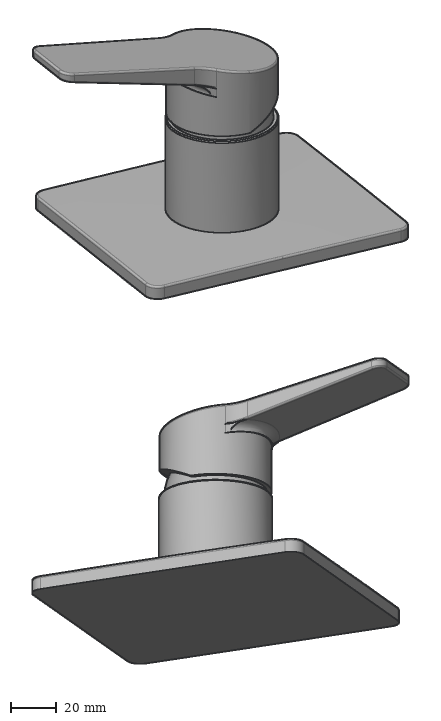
import cadquery as cq
import math

plate_width = 110.0
plate_length = 130.0
plate_crest = 6.9
face_rise = 0.6
plate_corner_radius = 6.1
plate_edge_radius = 0.9

body_radius = 24.8
body_top = 50.9
body_edge_chamfer = 0.6
neck_radius = 22.5

cap_radius = 24.5
cap_bottom = 53.5
cap_back_top = 79.2
cap_back_bottom = 64.5
relief_start_y = 0.6
tip_crest = 98.9
overall_length = 152.3
tip_y = plate_length / 2 - overall_length
tip_bottom = 94.6
underside_slope = 0.247
lever_root_y = -23.3
lever_root_half_width = 17.2
lever_tip_half_width = 16.0
tip_corner_radius = 5.0
handle_edge_radius = 0.9
root_cove_radius = 4.0


def make_plate():
    blank = cq.Workplane("XY").rect(plate_width, plate_length).extrude(plate_crest)
    blank = blank.edges("|Z").fillet(plate_corner_radius)
    half_diagonal = math.hypot(plate_width, plate_length) / 2
    cone = (
        cq.Workplane("XZ")
        .lineTo(half_diagonal, 0)
        .lineTo(half_diagonal, plate_crest - face_rise)
        .lineTo(neck_radius, plate_crest)
        .lineTo(0, plate_crest)
        .close()
        .revolve(360, (0, 0), (0, 1))
    )
    plate = blank.intersect(cone)
    rim_bottom = plate_crest - 2 * face_rise
    whole_rim = cq.selectors.BoxSelector(
        (-plate_width, -plate_length, rim_bottom), (plate_width, plate_length, plate_crest + 1.5)
    )
    inner_x = plate_width / 2 - plate_corner_radius
    inner_y = plate_length / 2 - plate_corner_radius
    inside_rim = cq.selectors.BoxSelector(
        (-inner_x, -inner_y, rim_bottom),
        (inner_x, inner_y, plate_crest + 1.5),
    )
    return plate.edges(whole_rim - inside_rim).fillet(plate_edge_radius)


def make_body():
    body = cq.Workplane("XY").circle(body_radius).extrude(body_top)
    body = body.faces(">Z").chamfer(body_edge_chamfer)
    neck = cq.Workplane("XY").sphere(neck_radius).translate((0, 0, body_top))
    return body.union(neck)


def lever_outline():
    root = lever_root_half_width
    blend_radius = (root**2 + lever_root_y**2 - cap_radius**2) / (2 * (cap_radius - root))
    blend_x = root + blend_radius
    share = cap_radius / (cap_radius + blend_radius)
    cap_x = blend_x * share
    cap_y = lever_root_y * share
    half_turn = math.atan2(cap_y - lever_root_y, blend_x - cap_x) / 2
    mid_x = blend_x - blend_radius * math.cos(half_turn)
    mid_y = lever_root_y + blend_radius * math.sin(half_turn)
    return (
        cq.Workplane("XY")
        .moveTo(cap_x, cap_y)
        .threePointArc((0, cap_radius), (-cap_x, cap_y))
        .threePointArc((-mid_x, mid_y), (-root, lever_root_y))
        .lineTo(-lever_tip_half_width, tip_y)
        .lineTo(lever_tip_half_width, tip_y)
        .lineTo(root, lever_root_y)
        .threePointArc((mid_x, mid_y), (cap_x, cap_y))
        .close()
    )


def side_profile(points):
    profile = cq.Workplane("YZ").polyline(points).close()
    return profile.extrude(cap_radius * 2, both=True)


def underside_z(y):
    return tip_bottom - underside_slope * (y - tip_y)


def make_root_cove():
    outer = cap_radius + root_cove_radius
    arc_offset = root_cove_radius * math.sqrt(0.5)
    ring = (
        cq.Workplane("XZ")
        .moveTo(cap_radius - root_cove_radius, 0)
        .lineTo(cap_radius - root_cove_radius, -root_cove_radius)
        .lineTo(cap_radius, -root_cove_radius)
        .threePointArc((outer - arc_offset, arc_offset - root_cove_radius), (outer, 0))
        .close()
        .revolve(360, (0, 0), (0, 1))
        .rotate((0, 0, 0), (1, 0, 0), -math.degrees(math.atan(underside_slope)))
        .translate((0, 0, underside_z(0)))
    )
    return ring.intersect(lever_outline().extrude(tip_crest))


def make_handle():
    lever = lever_outline().extrude(tip_crest)
    lever = lever.edges("|Z and <Y").fillet(tip_corner_radius)
    lever = lever.intersect(side_profile([
        (tip_y, tip_bottom),
        (tip_y, tip_crest),
        (cap_radius, cap_back_top),
        (cap_radius, underside_z(cap_radius)),
    ]))
    underside_normal = cq.Vector(0, underside_slope, 1)
    underside = lever.faces(cq.selectors.ParallelDirSelector(underside_normal))
    lever = underside.edges().fillet(handle_edge_radius)
    cap = cq.Workplane("XY").circle(cap_radius).extrude(tip_crest)
    cap = cap.intersect(side_profile([
        (-cap_radius, cap_bottom),
        (relief_start_y, cap_bottom),
        (cap_radius, cap_back_bottom),
        (cap_radius, cap_back_top),
        (tip_y, tip_crest),
        (tip_y, tip_bottom),
        (-cap_radius, underside_z(-cap_radius)),
    ]))
    handle = cap.union(lever).union(make_root_cove())
    top_slope = (tip_crest - cap_back_top) / (cap_radius - tip_y)
    top_face = handle.faces(cq.selectors.ParallelDirSelector(cq.Vector(0, top_slope, 1)))
    return top_face.edges().fillet(handle_edge_radius)


result = make_plate().union(make_body()).union(make_handle())